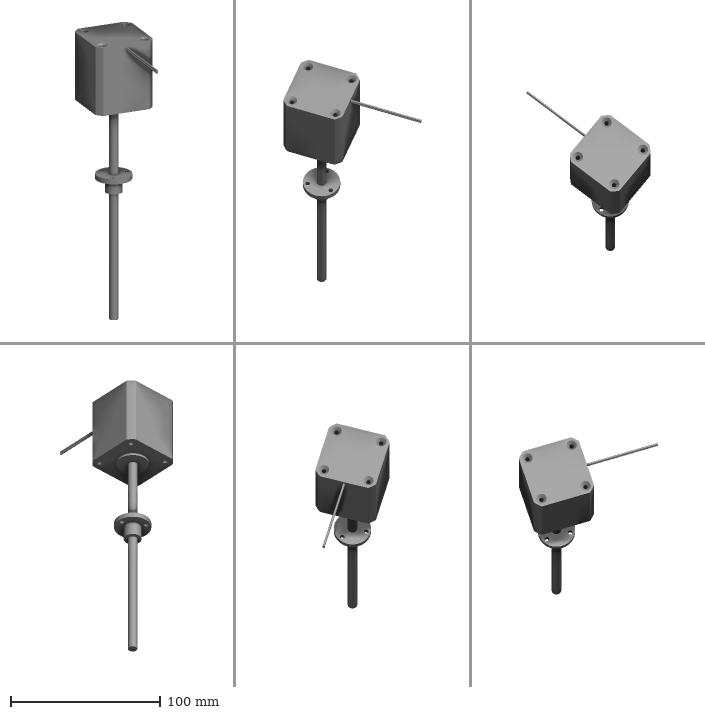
import cadquery as cq

total_length_x = 92.2
total_height = 201.9

body_width = 42.2
body_height = 48.4
corner_turning_diameter = 54.0
corner_blend_radius = 1.5

hole_pitch = 31.0
hole_diameter = 3.0
countersink_diameter = 7.0
countersink_angle = 90.0

pilot_diameter = 22.0
pilot_height = 1.6

spindle_diameter = 6.5
spindle_end_chamfer = 0.3
spindle_bottom = body_height - total_height

flange_top = -50.0
flange_diameter = 25.0
flange_thickness = 3.5
barrel_diameter = 12.0
barrel_length = 9.5
flange_hole_count = 3
flange_hole_diameter = 3.0
flange_hole_circle_diameter = 19.0
first_flange_hole_angle = 90.0
full_turn = 360.0

wire_diameter = 1.4
wire_spacing = 1.35
wire_pair_drop = 3.2
wire_end = total_length_x - body_width / 2


def cylinder_down(diameter, length, top):
    """Cylinder on the Z axis, running down from the given height."""
    return cq.Workplane("XY").workplane(offset=top).circle(diameter / 2).extrude(-length)


def make_body():
    block = cq.Workplane("XY").rect(body_width, body_width).extrude(body_height)
    turned_envelope = cq.Workplane("XY").circle(corner_turning_diameter / 2).extrude(body_height)
    block = block.intersect(turned_envelope)
    block = block.edges("|Z").fillet(corner_blend_radius)
    return (
        block.faces(">Z")
        .workplane(origin=(0, 0, body_height))
        .rect(hole_pitch, hole_pitch, forConstruction=True)
        .vertices()
        .cskHole(hole_diameter, countersink_diameter, countersink_angle)
    )


def make_spindle():
    spindle = cylinder_down(spindle_diameter, -spindle_bottom, 0)
    return spindle.faces("<Z").chamfer(spindle_end_chamfer)


def make_nut():
    flange = cylinder_down(flange_diameter, flange_thickness, flange_top)
    holes = (
        cq.Workplane("XY")
        .workplane(offset=flange_top)
        .polarArray(flange_hole_circle_diameter / 2, first_flange_hole_angle, full_turn, flange_hole_count)
        .circle(flange_hole_diameter / 2)
        .extrude(-flange_thickness)
    )
    barrel = cylinder_down(barrel_diameter, barrel_length, flange_top - flange_thickness)
    return flange.cut(holes).union(barrel)


def make_wires():
    """Pair of straight round wires; they merge slightly where they touch."""
    return (
        cq.Workplane("YZ")
        .workplane(offset=body_width / 2)
        .center(0, body_height - wire_pair_drop)
        .rarray(1, wire_spacing, 1, 2)
        .circle(wire_diameter / 2)
        .extrude(wire_end - body_width / 2)
    )


pilot = cylinder_down(pilot_diameter, pilot_height, 0)
result = make_body().union(pilot).union(make_spindle()).union(make_nut()).union(make_wires())